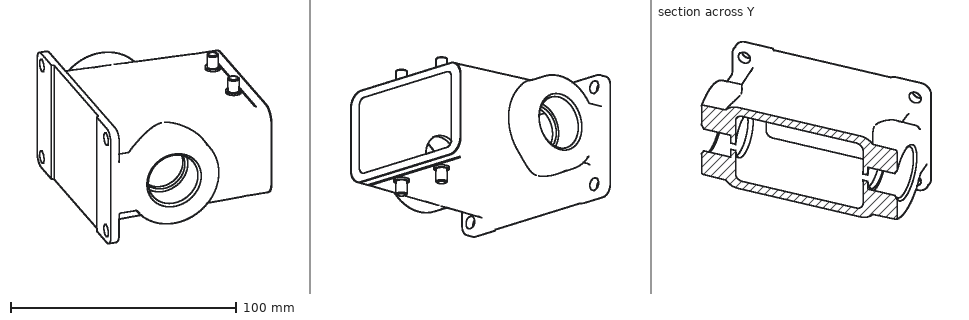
import cadquery as cq
import math

LENGTH = 94.0
FLANGE_HEIGHT = 56.0
FLANGE_THICKNESS = 4.2
FLANGE_CORNER = 5.0
SCREW_HOLE_DIAMETER = 5.6
SCREW_SPACING_X = 81.9
SCREW_SPACING_Z = 44.9
RECESS_WIDTH = 56.0
RECESS_DEPTH = 1.0

DEPTH = 80.4
HOUSING_BASE = (74.8, 45.4)
HOUSING_END = (72.6, 43.1)
HOUSING_CORNER = 7.5
COLLAR = (72.8, 42.6)
COLLAR_CORNER = 7.0
COLLAR_LENGTH = 4.9
COLLAR_BLEND = 0.7
SEAL_THICKNESS = 0.33
SEAL_INSET = 0.2
SEAL_START = DEPTH - SEAL_THICKNESS
COLLAR_START = SEAL_START - COLLAR_LENGTH
HOUSING_END_Y = COLLAR_START - COLLAR_BLEND

END_WALL = 5.9
SIDE_WALL = 3.8
CAVITY = (COLLAR[0] - 2 * END_WALL, COLLAR[1] - 2 * SIDE_WALL)
CAVITY_CORNER = COLLAR_CORNER - SIDE_WALL
CAVITY_FLOOR_Y = FLANGE_THICKNESS

ENTRY_Y = 30.0
ENTRY_RADIUS = 21.5
ENTRY_DRAFT = 1.0
ENTRY_LENGTH = 18.8
RIB_HEIGHT = 24.6
BORE_RADIUS = 11.75
BORE_DEPTH = 14.1
BORE_CHAMFER = 1.1
THROUGH_RADIUS = 10.3

PIN_SPACING = 26.5
PIN_Y = 70.7
PIN_DIAMETER = 5.0
PIN_SPAN = 57.5
PIN_CHAMFER = 0.5
PIN_SEAT_DIAMETER = 6.8
PIN_SEAT_SPAN = 45.1
PIN_ROOT_Z = (CAVITY[1] + COLLAR[1]) / 4

ROOT_ROUND = 0.75
RIM_ROUND = 0.9
TOLERANCE = 0.01


def rounded_prism(size, corner, start_y, end_y):
    """Rounded rectangle, X by Z, extruded along Y."""
    prism = cq.Workplane("XZ", origin=(0, start_y, 0)).rect(*size).extrude(start_y - end_y)
    return prism.edges("|Y").fillet(corner)


def rounded_loft(start_size, start_corner, start_y, end_size, end_corner, end_y):
    """Solid along Y that changes evenly from one rounded rectangle to another."""
    start = cq.Sketch().rect(*start_size).vertices().fillet(start_corner)
    end = cq.Sketch().rect(*end_size).vertices().fillet(end_corner)
    end = end.moved(cq.Location(cq.Vector(0, 0, start_y - end_y)))
    return cq.Workplane("XZ", origin=(0, start_y, 0)).placeSketch(start, end).loft(ruled=True)


def housing():
    taper = rounded_loft(
        HOUSING_BASE, HOUSING_CORNER, FLANGE_THICKNESS, HOUSING_END, HOUSING_CORNER, HOUSING_END_Y
    )
    blend = rounded_loft(
        HOUSING_END, HOUSING_CORNER, HOUSING_END_Y, COLLAR, COLLAR_CORNER, COLLAR_START
    )
    collar = rounded_prism(COLLAR, COLLAR_CORNER, COLLAR_START, SEAL_START)
    seal_size = (COLLAR[0] - 2 * SEAL_INSET, COLLAR[1] - 2 * SEAL_INSET)
    seal = rounded_prism(seal_size, COLLAR_CORNER - SEAL_INSET, SEAL_START, DEPTH)
    return taper.union(blend).union(collar).union(seal)


def entry():
    """Drafted boss at the +X end with the rib that ties it to the flange."""
    end_face = cq.Workplane("YZ", origin=(LENGTH / 2, ENTRY_Y, 0))
    boss = end_face.circle(ENTRY_RADIUS).extrude(-ENTRY_LENGTH, taper=-ENTRY_DRAFT)
    rib = cq.Workplane("XY").box(ENTRY_LENGTH, ENTRY_Y, RIB_HEIGHT, centered=(True, False, True))
    return boss.union(rib.translate(((LENGTH - ENTRY_LENGTH) / 2, 0, 0)))


def entry_bore():
    """Chamfered bore at the +X end, stopping at a ledge around the smaller through hole."""
    end_face = cq.Workplane("YZ", origin=(LENGTH / 2, ENTRY_Y, 0))
    bore = end_face.circle(BORE_RADIUS).extrude(-BORE_DEPTH)
    mouth = end_face.circle(BORE_RADIUS + BORE_CHAMFER).extrude(-BORE_CHAMFER, taper=45)
    return bore.union(mouth)


def through_hole():
    return cq.Workplane("YZ", origin=(0, ENTRY_Y, 0)).circle(THROUGH_RADIUS).extrude(LENGTH / 2, both=True)


def pin(x):
    """Pin with its seat on the +Z face."""
    root = cq.Workplane("XY", origin=(x, PIN_Y, PIN_ROOT_Z))
    shank = root.circle(PIN_DIAMETER / 2).extrude(PIN_SPAN / 2 - PIN_ROOT_Z)
    seat = root.circle(PIN_SEAT_DIAMETER / 2).extrude(PIN_SEAT_SPAN / 2 - PIN_ROOT_Z)
    return shank.faces(">Z").chamfer(PIN_CHAMFER).union(seat)


def recess():
    """Shallow channel with sloping sides across the back of the flange."""
    floor = RECESS_WIDTH / 2
    mouth = floor + RECESS_DEPTH
    outline = [(-mouth, 0), (mouth, 0), (floor, RECESS_DEPTH), (-floor, RECESS_DEPTH)]
    return cq.Workplane("XY").polyline(outline).close().extrude(FLANGE_HEIGHT / 2, both=True)


def screw_holes():
    centers = cq.Workplane("XZ").rect(SCREW_SPACING_X, SCREW_SPACING_Z, forConstruction=True).vertices()
    return centers.circle(SCREW_HOLE_DIAMETER / 2).extrude(-FLANGE_THICKNESS)


def lies_on_flange(edge):
    box = edge.BoundingBox()
    return max(abs(box.ymin - FLANGE_THICKNESS), abs(box.ymax - FLANGE_THICKNESS)) < TOLERANCE


def is_root_edge(edge):
    """Inside corners of the housing and the ribs against the flange."""
    center = edge.Center()
    inside_x = abs(center.x) < LENGTH / 2 - TOLERANCE
    inside_z = abs(center.z) < FLANGE_HEIGHT / 2 - FLANGE_CORNER
    return lies_on_flange(edge) and inside_x and inside_z


def is_rib_boss_edge(edge):
    """Inside corners where the faces of a rib meet its boss."""
    center = edge.Center()
    half_rib = RIB_HEIGHT / 2
    meeting_y = ENTRY_Y - math.sqrt(ENTRY_RADIUS**2 - half_rib**2)
    along_x = edge.BoundingBox().xlen > ENTRY_LENGTH / 4
    draft_drift = ENTRY_LENGTH * math.tan(math.radians(ENTRY_DRAFT))
    near_corner = abs(center.y - meeting_y) < draft_drift
    return along_x and near_corner and abs(abs(center.z) - half_rib) < TOLERANCE


def is_rim_edge(edge):
    """Outline of both end faces beyond the flange, and the flange edge facing the housing."""
    center = edge.Center()
    on_end = edge.BoundingBox().xlen < TOLERANCE and abs(center.x) > LENGTH / 2 - TOLERANCE
    beyond_flange = center.y > FLANGE_THICKNESS - TOLERANCE
    near_outline = abs(center.z) > (FLANGE_HEIGHT - FLANGE_CORNER) / 2
    return (on_end and beyond_flange) or (lies_on_flange(edge) and near_outline)


def rounded(part, radius, *tests):
    """Fillet every edge that passes any of the tests."""
    chosen = [edge for edge in part.edges().vals() if any(test(edge) for test in tests)]
    return part.newObject(chosen).fillet(radius)


flange = rounded_prism((LENGTH, FLANGE_HEIGHT), FLANGE_CORNER, 0, FLANGE_THICKNESS)
outer = flange.union(entry()).union(entry().mirror("YZ")).union(housing())
outer = rounded(outer, ROOT_ROUND, is_root_edge, is_rib_boss_edge)
outer = rounded(outer, RIM_ROUND, is_rim_edge)

for pin_x in (-PIN_SPACING / 2, PIN_SPACING / 2):
    outer = outer.union(pin(pin_x)).union(pin(pin_x).mirror("XY"))

result = outer.cut(recess()).cut(screw_holes())
result = result.cut(rounded_prism(CAVITY, CAVITY_CORNER, CAVITY_FLOOR_Y, DEPTH))
result = result.cut(entry_bore()).cut(entry_bore().mirror("YZ")).cut(through_hole())